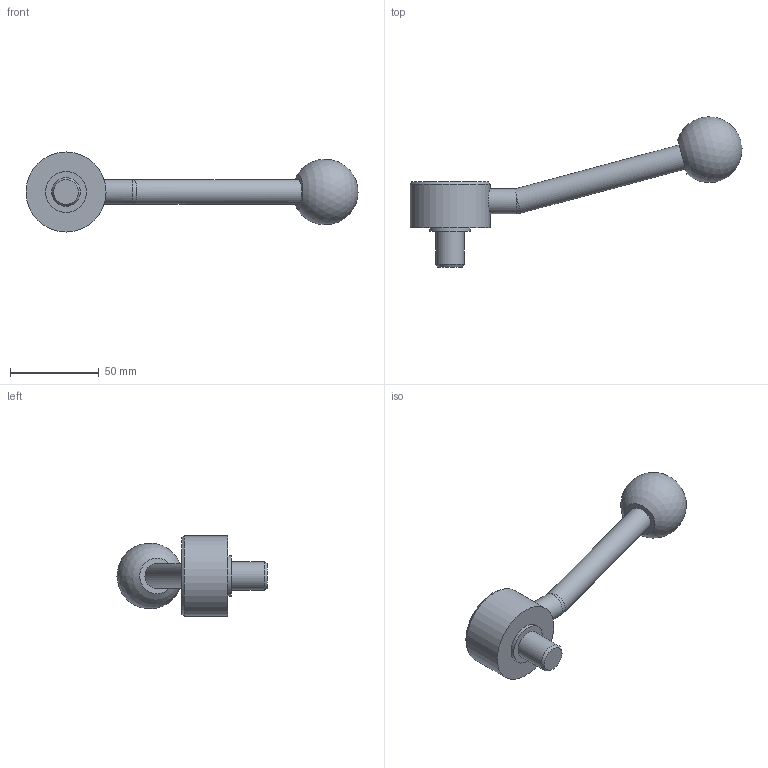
import cadquery as cq
import math

hub_diameter = 45.0
hub_length = 26.0
hub_front_y = -15.0
hub_back_y = hub_front_y + hub_length
hub_chamfer_length = 1.5
hub_chamfer_depth = 1.0

collar_diameter = 23.0
collar_length = 2.0
stud_diameter = 16.0
stud_length = 20.0
stud_chamfer_length = 1.5
stud_chamfer_depth = 1.0

arm_diameter = 14.0
bend_x = 37.65
bend_radius = 3.0
tilt_degrees = 15.0

ball_diameter = 37.0
ball_flat_diameter = 20.0
overall_length = 186.72

tilt = math.radians(tilt_degrees)
ball_radius = ball_diameter / 2
ball_center_x = overall_length - hub_diameter / 2 - ball_radius
ball_distance = (ball_center_x - bend_x) / math.cos(tilt)
ball_flat_offset = math.sqrt(ball_radius**2 - (ball_flat_diameter / 2) ** 2)

bend_point = cq.Vector(bend_x, 0, 0)
tilt_direction = cq.Vector(math.cos(tilt), math.sin(tilt), 0)
ball_center = bend_point + tilt_direction * ball_distance


def make_hub_and_stud():
    """Revolve the stepped half profile of hub, collar and stud about the Y axis."""
    hub_radius = hub_diameter / 2
    stud_radius = stud_diameter / 2
    collar_front_y = hub_front_y - collar_length
    stud_end_y = collar_front_y - stud_length
    return (
        cq.Workplane("XY")
        .moveTo(0, hub_back_y)
        .lineTo(hub_radius - hub_chamfer_depth, hub_back_y)
        .lineTo(hub_radius, hub_back_y - hub_chamfer_length)
        .lineTo(hub_radius, hub_front_y)
        .lineTo(collar_diameter / 2, hub_front_y)
        .lineTo(collar_diameter / 2, collar_front_y)
        .lineTo(stud_radius, collar_front_y)
        .lineTo(stud_radius, stud_end_y + stud_chamfer_length)
        .lineTo(stud_radius - stud_chamfer_depth, stud_end_y)
        .lineTo(0, stud_end_y)
        .close()
        .revolve(360, (0, 0, 0), (0, 1, 0))
    )


def make_arm():
    """Join two square-ended round bars through a short round elbow."""
    arm_radius = arm_diameter / 2
    setback = bend_radius * math.tan(tilt / 2)
    straight_length = bend_x - setback
    straight_bar = cq.Workplane("YZ").circle(arm_radius).extrude(straight_length)

    tilted_start = bend_point + tilt_direction * setback
    tilted_plane = cq.Plane(origin=tilted_start, xDir=(0, 0, 1), normal=tilt_direction)
    tilted_bar = cq.Workplane(tilted_plane).circle(arm_radius).extrude(ball_distance - setback)

    pivot_half_chord = math.sqrt(arm_radius**2 - bend_radius**2)
    elbow = (
        cq.Workplane("YZ", origin=(straight_length, 0, 0))
        .moveTo(bend_radius, -pivot_half_chord)
        .threePointArc((-arm_radius, 0), (bend_radius, pivot_half_chord))
        .close()
        .revolve(tilt_degrees, (bend_radius, 0, 0), (bend_radius, 1, 0))
    )
    return straight_bar.union(elbow).union(tilted_bar)


def make_ball():
    """Revolve a truncated half disc about the axis of the tilted arm piece."""
    flat_radius = ball_flat_diameter / 2
    ball_plane = cq.Plane(origin=ball_center, xDir=tilt_direction, normal=(0, 0, 1))
    return (
        cq.Workplane(ball_plane)
        .moveTo(-ball_flat_offset, 0)
        .lineTo(-ball_flat_offset, flat_radius)
        .threePointArc((0, ball_radius), (ball_radius, 0))
        .close()
        .revolve(360, (0, 0, 0), (1, 0, 0))
    )


result = make_hub_and_stud().union(make_arm()).union(make_ball())